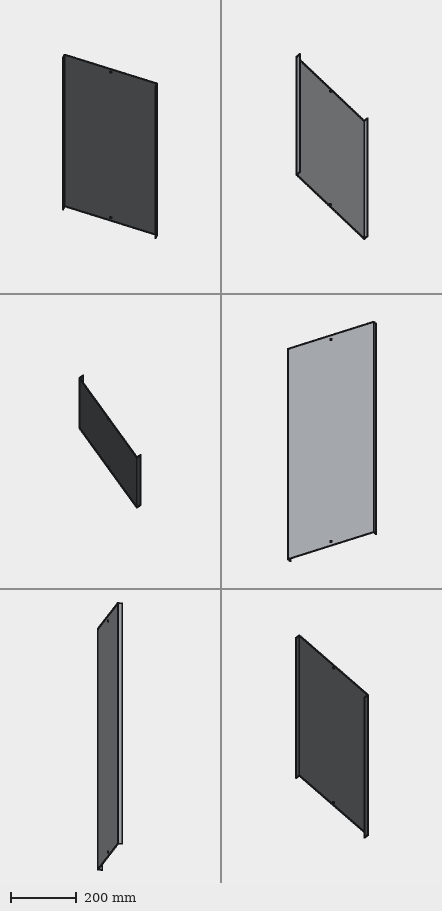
import cadquery as cq

height = 760.0
width = 303.0
depth = 14.5
sheet = 1.1

hole_diameter = 5.0
hole_end_distance = 15.0


def make_channel():
    """Panel at the +Y side with a flange along each long edge, pointing to -Y."""
    outer = cq.Workplane("XY").box(width, depth, height)
    inner = cq.Workplane("XY").box(width - 2 * sheet, depth, height)
    return outer.cut(inner.translate((0, -sheet, 0)))


def make_hole_cutters():
    """Round cutters through the panel at both mounting holes."""
    offset = height / 2 - hole_end_distance
    return (
        cq.Workplane("XZ", origin=(0, depth / 2, 0))
        .pushPoints([(0, -offset), (0, offset)])
        .circle(hole_diameter / 2)
        .extrude(depth)
    )


result = make_channel().cut(make_hole_cutters())